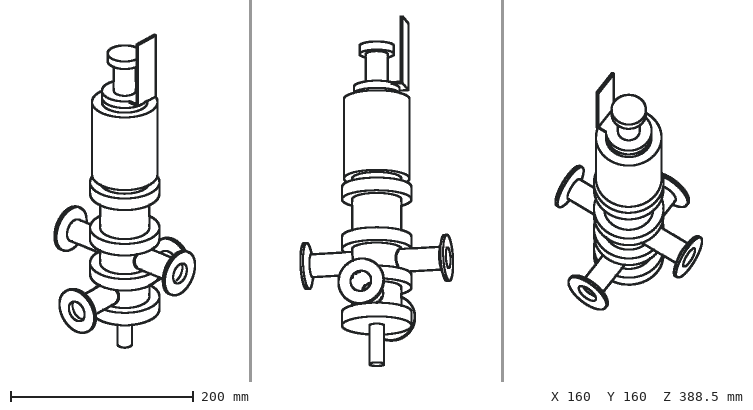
import cadquery as cq

rod_diameter = 16.0
base_z = 44.0
base_flange_top = 59.5
middle_flange_bottom = 87.0
middle_flange_top = 101.5
upper_flange_bottom = 130.5
upper_flange_top = 145.0
bonnet_flange_bottom = 187.0
bonnet_flange_top = 201.3
actuator_bottom = 210.5
actuator_top = 300.7
collar_bottom = 306.5
collar_top = 314.7

neck_diameter = 54.0
flange_diameter = 76.0
actuator_diameter = 72.0
spigot_diameter = 50.0

port_span = 160.0
port_reach = port_span / 2
pipe_diameter = 25.3
bore_diameter = 23.0
ferrule_diameter = 50.5
ferrule_rim = 3.0
ferrule_length = 7.5
lower_port_z = (base_flange_top + middle_flange_bottom) / 2
upper_port_z = (middle_flange_top + upper_flange_bottom) / 2

collar_diameter = spigot_diameter
stem_diameter = 24.0
knob_diameter = 37.5
knob_bottom = 351.5
knob_top = 361.0
flag_top = 388.5
flag_width = 30.0
flag_outer_x = 32.2
flag_thickness = 2.5
tab_thickness = 2.0


def disc(diameter, bottom, top):
    """Vertical cylinder on the valve axis."""
    return cq.Workplane("XY").workplane(offset=bottom).circle(diameter / 2).extrude(top - bottom)


def make_port(height, angle):
    """Pipe with a tapered end ferrule, turned about Z from the +X direction."""
    pipe_radius = pipe_diameter / 2
    ferrule_radius = ferrule_diameter / 2
    taper_start = port_reach - ferrule_length
    outline = [
        (0, 0),
        (0, pipe_radius),
        (taper_start, pipe_radius),
        (port_reach - ferrule_rim, ferrule_radius),
        (port_reach, ferrule_radius),
        (port_reach, 0),
    ]
    port = cq.Workplane("XZ").polyline(outline).close().revolve(360, (0, 0), (1, 0))
    bore = cq.Workplane("YZ").circle(bore_diameter / 2).extrude(port_reach)
    return port.cut(bore).rotate((0, 0, 0), (0, 0, 1), angle).translate((0, 0, height))


def make_housing():
    """Valve chambers, flanges, actuator, drain rod and the four side ports."""
    housing = disc(rod_diameter, 0, base_z)
    flanges = [
        (base_z, base_flange_top),
        (middle_flange_bottom, middle_flange_top),
        (upper_flange_bottom, upper_flange_top),
        (bonnet_flange_bottom, bonnet_flange_top),
    ]
    for bottom, top in flanges:
        housing = housing.union(disc(flange_diameter, bottom, top))
    for angle in (0, 180):
        housing = housing.union(make_port(upper_port_z, angle))
    for angle in (90, 270):
        housing = housing.union(make_port(lower_port_z, angle))
    housing = housing.union(disc(neck_diameter, base_z, actuator_bottom))
    housing = housing.union(disc(actuator_diameter, actuator_bottom, actuator_top))
    return housing.union(disc(spigot_diameter, actuator_top, collar_bottom))


def make_indicator():
    """Collar, stem and knob with an L-shaped flag on the +X side."""
    tab_bottom = collar_top - tab_thickness
    tab = cq.Workplane("XY").box(
        flag_outer_x, flag_width, tab_thickness, centered=(False, True, False)
    ).translate((0, 0, tab_bottom))
    flag = cq.Workplane("XY").box(
        flag_thickness, flag_width, flag_top - tab_bottom, centered=(False, True, False)
    ).translate((flag_outer_x - flag_thickness, 0, tab_bottom))
    indicator = disc(collar_diameter, collar_bottom, collar_top).union(tab).clean()
    indicator = indicator.union(flag)
    indicator = indicator.union(disc(stem_diameter, collar_top, knob_bottom))
    return indicator.union(disc(knob_diameter, knob_bottom, knob_top))


housing = make_housing()
indicator = make_indicator()
result = cq.Compound.makeCompound([housing.val(), indicator.val()])